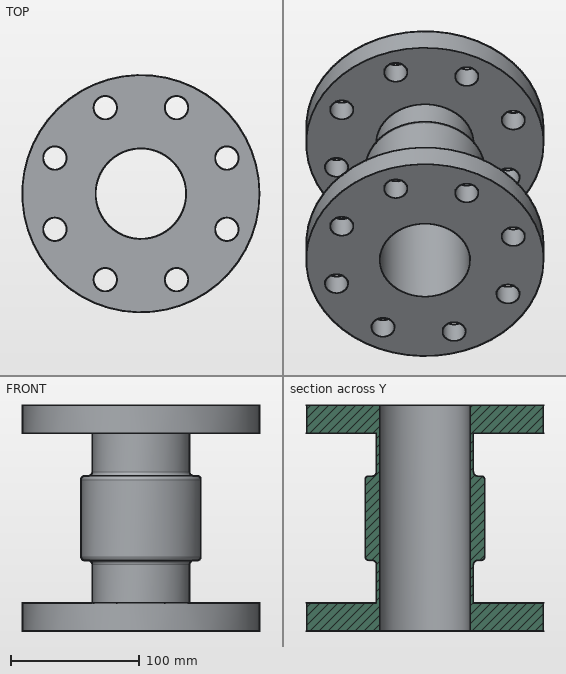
import cadquery as cq

length = 176.0
bore_diameter = 70.3

flange_diameter = 185.0
flange_thickness = 22.0
bolt_circle_diameter = 145.0
bolt_hole_diameter = 18.0
bolt_hole_count = 8

pipe_diameter = 76.1
sleeve_diameter = 93.6
sleeve_length = 66.0
sleeve_edge_radius = 3.0
sleeve_root_radius = 3.0


def cylinder(diameter, height, center_z=0.0):
    """Cylinder on the Z axis, centred at the given height."""
    return cq.Workplane("XY").workplane(offset=center_z).cylinder(height, diameter / 2)


def sleeved_pipe():
    """Solid pipe body with the sleeve rounded at its edges and filleted into the pipe."""
    sleeve = cylinder(sleeve_diameter, sleeve_length).edges("%CIRCLE").fillet(sleeve_edge_radius)
    body = cylinder(pipe_diameter, length).union(sleeve)

    half_width = (pipe_diameter + sleeve_diameter) / 4 - sleeve_edge_radius / 2
    half_height = (sleeve_length + length) / 4
    root_edges = cq.selectors.BoxSelector(
        (-half_width, -half_width, -half_height),
        (half_width, half_width, half_height),
        boundingbox=True,
    )
    return body.edges(root_edges).fillet(sleeve_root_radius)


def flanges():
    """The two end flanges, flush with the ends of the pipe."""
    center_z = (length - flange_thickness) / 2
    top_flange = cylinder(flange_diameter, flange_thickness, center_z)
    bottom_flange = cylinder(flange_diameter, flange_thickness, -center_z)
    return top_flange.add(bottom_flange).combine()


def bolt_holes():
    """Cutters for the bolt holes of both flanges, straddling the X and Y axes."""
    half_pitch_angle = 180.0 / bolt_hole_count
    return (
        cq.Workplane("XY")
        .polarArray(bolt_circle_diameter / 2, half_pitch_angle, 360, bolt_hole_count)
        .cylinder(length, bolt_hole_diameter / 2)
    )


body = sleeved_pipe().union(flanges())
result = body.cut(cylinder(bore_diameter, length)).cut(bolt_holes())